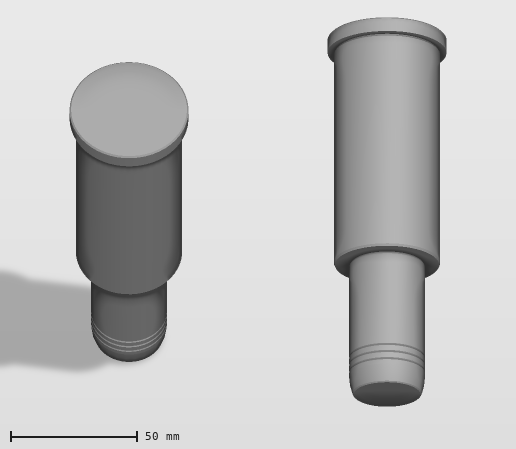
import cadquery as cq

total_length = 151.0
head_height = 6.0
body_length = 90.0
head_bottom = total_length - head_height
body_bottom = head_bottom - body_length

head_radius = 47.0 / 2
body_radius = 42.0 / 2
pin_radius = 29.9 / 2

head_chamfer = 0.6
body_chamfer_depth = 0.5
body_chamfer_height = 0.9
neck_depth = 0.5
neck_height = 0.5
pin_chamfer_depth = 0.5
pin_chamfer_height = 0.9

tip_radius = 13.6
tip_height = 7.2
tip_chamfer = 0.5
arc_height = tip_height - tip_chamfer
tip_inset = pin_radius - tip_radius
tip_arc_radius = (arc_height**2 + tip_inset**2) / (2 * tip_inset)

groove_count = 3
groove_first_height = 9.5
groove_pitch = 3.0
groove_width = 0.9
groove_depth = 0.5


def make_head():
    """Flat round head with a chamfered top rim."""
    head = cq.Workplane("XY").workplane(offset=head_bottom).circle(head_radius).extrude(head_height)
    return head.faces(">Z").chamfer(head_chamfer)


def make_body():
    """Main cylinder: steep chamfer at the bottom, short neck and chamfer under the head."""
    shoulder_top = head_bottom - neck_height
    profile = cq.Workplane("XZ").polyline(
        [
            (0, body_bottom),
            (body_radius - body_chamfer_depth, body_bottom),
            (body_radius, body_bottom + body_chamfer_height),
            (body_radius, shoulder_top - neck_depth),
            (body_radius - neck_depth, shoulder_top),
            (body_radius - neck_depth, head_bottom),
            (0, head_bottom),
        ]
    )
    return profile.close().revolve(360, (0, 0, 0), (0, 1, 0))


def make_pin():
    """Revolved pin: tip curving in from a tangent side, and a chamfer at its root."""
    arc_center_x = pin_radius - tip_arc_radius
    mid_rise = arc_height / 2
    mid_height = tip_height - mid_rise
    mid_radius = arc_center_x + (tip_arc_radius**2 - mid_rise**2) ** 0.5
    profile = (
        cq.Workplane("XZ")
        .lineTo(tip_radius - tip_chamfer, 0)
        .lineTo(tip_radius, tip_chamfer)
        .threePointArc((mid_radius, mid_height), (pin_radius, tip_height))
        .lineTo(pin_radius, body_bottom - pin_chamfer_height)
        .lineTo(pin_radius - pin_chamfer_depth, body_bottom)
        .lineTo(0, body_bottom)
        .close()
    )
    return profile.revolve(360, (0, 0, 0), (0, 1, 0))


def make_groove(center_height):
    """V-section ring of material removed by one groove."""
    half_width = groove_width / 2
    section = cq.Workplane("XZ").polyline(
        [
            (pin_radius, center_height - half_width),
            (pin_radius - groove_depth, center_height),
            (pin_radius, center_height + half_width),
        ]
    )
    return section.close().revolve(360, (0, 0, 0), (0, 1, 0))


result = make_pin().union(make_body()).union(make_head())
for index in range(groove_count):
    result = result.cut(make_groove(groove_first_height + index * groove_pitch))